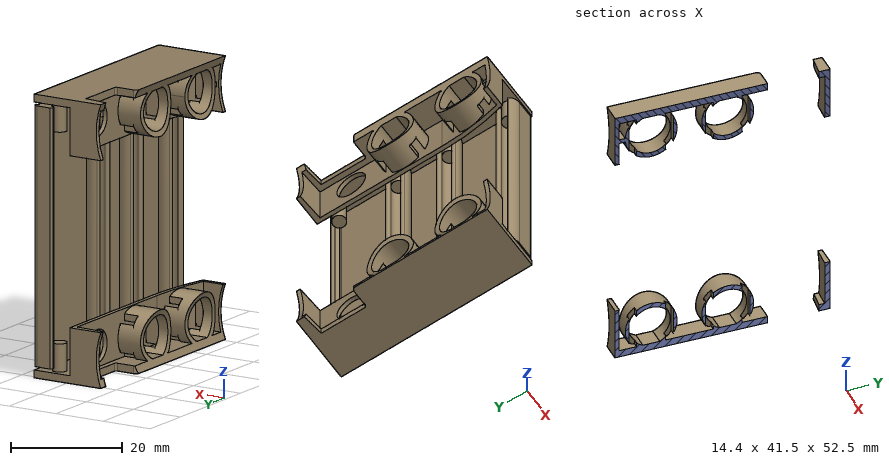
import cadquery as cq
import math

height = 52.5
length = 41.5
slat_back = 14.35

plate_thickness = 1.45
plate_depth = 14.2
bracket_height = 10.35
front_hollow = 0.95
wall_thickness = 0.85
wall_back = 6.55
wall_front = wall_back - wall_thickness
bend_start = 13.75
bend_depth = 1.8
near_wall_back = wall_back - bend_depth
far_wall_tip = 0.85
far_wall_root = 1.2

notch_depth = 4.55
notch_start = 29.4
notch_end_tip = length - 1.75
notch_end_root = length - 2.25
notch_outer_radius = 0.8
notch_inner_radius = 0.35

ring_places = (7.0, 21.75)
ring_outer_diameter = 10.1
ring_inner_diameter = 8.1
ring_height = bracket_height / 2
slot_front = 2.9
slot_inner = 2.85
slot_outer = 4.25

hole_diameter = 6.2
hole_place = 33.5
hole_height = 5.3

rib_front = 1.35
rib_thickness = 0.9
rib_overlap = 0.2

pin_diameter = 2.7
pin_x = 10.2
pin_top = 6.65
channel_diameter = 4.6
end_pin_place = channel_diameter / 2
pin_places = (end_pin_place, 15.2, 26.3, length - end_pin_place)

slat_gap = 0.65
slat_bottom = plate_thickness + slat_gap
slat_height = height - 2 * slat_bottom
slat_front = 11.55
slat_back_radius = 0.8
lip_angle = 63.0
end_lip_angle = 28.5
hook_tip_x = 10.4
hook_chamfer = 0.35
hook_inner_x = 10.65
hook_inner_y = length - 1.15
hook_foot_y = length - 1.75
groove_start = 39.4
groove_width = 1.15
groove_depth = 0.4


def box(x0, x1, y0, y1, z0, z1):
    corner = (x0, y0, z0)
    return cq.Workplane("XY").box(x1 - x0, y1 - y0, z1 - z0, centered=False).translate(corner)


def rod_along_x(diameter, y, z, x_end):
    return cq.Workplane("YZ", origin=(0, y, z)).circle(diameter / 2).extrude(x_end)


def bend_point(x, y):
    """Point at `y` on the curve that starts at (x, bend_start) and bends toward -X."""
    radius = (bend_start**2 + bend_depth**2) / (2 * bend_depth)
    run = bend_start - y
    return (x - radius + math.sqrt(radius**2 - run**2), y)


def make_plate():
    middle = plate_thickness / 2
    notch = (
        cq.Workplane("XY")
        .polyline([
            (0, notch_start),
            (notch_depth, notch_start),
            (notch_depth, notch_end_root),
            (0, notch_end_tip),
        ])
        .close()
        .extrude(plate_thickness)
        .edges(cq.NearestToPointSelector((notch_depth, notch_start, middle)))
        .fillet(notch_inner_radius)
    )
    return (
        box(0, plate_depth, 0, length, 0, plate_thickness)
        .cut(notch)
        .edges(cq.NearestToPointSelector((0, notch_start, middle)))
        .fillet(notch_outer_radius)
    )


def make_long_wall():
    return (
        cq.Workplane("XY")
        .moveTo(wall_front, length)
        .lineTo(wall_back, length)
        .lineTo(wall_back, bend_start)
        .threePointArc(bend_point(wall_back, bend_start / 2), bend_point(wall_back, 0))
        .lineTo(*bend_point(wall_front, 0))
        .threePointArc(bend_point(wall_front, bend_start / 2), (wall_front, bend_start))
        .close()
        .extrude(bracket_height)
    )


def make_end_walls():
    near_wall = box(0, near_wall_back - wall_thickness / 2, 0, wall_thickness, 0, bracket_height)
    far_wall = (
        cq.Workplane("XY")
        .polyline([
            (0, length),
            (0, length - far_wall_tip),
            (wall_front, length - far_wall_root),
            (wall_front, length),
        ])
        .close()
        .extrude(bracket_height)
    )
    return near_wall.union(far_wall)


def make_ring(place):
    outside = rod_along_x(ring_outer_diameter, place, ring_height, wall_front)
    bore = rod_along_x(ring_inner_diameter, place, ring_height, wall_front)
    ring = outside.cut(bore)
    for inner, outer in ((slot_inner, slot_outer), (-slot_outer, -slot_inner)):
        ring = ring.cut(box(slot_front, wall_front, place + inner, place + outer, 0, bracket_height))
    return ring


def make_rib():
    ring_edge = ring_places[0] - ring_outer_diameter / 2
    bottom = hole_height - rib_thickness / 2
    rib_back = near_wall_back - wall_thickness / 2
    return box(rib_front, rib_back, 0, ring_edge + rib_overlap, bottom, bottom + rib_thickness)


def make_space_behind_bend():
    """Everything behind the curved stretch of the long wall, where no ring may reach."""
    return (
        cq.Workplane("XY")
        .moveTo(wall_back, bend_start)
        .threePointArc(bend_point(wall_back, bend_start / 2), bend_point(wall_back, 0))
        .lineTo(wall_back, 0)
        .close()
        .extrude(bracket_height)
    )


def make_front_hollow():
    return (
        cq.Workplane("XZ")
        .threePointArc((front_hollow, bracket_height / 2), (0, bracket_height))
        .close()
        .extrude(-length)
    )


def make_pins():
    places = [(pin_x, y) for y in pin_places]
    return cq.Workplane("XY").pushPoints(places).circle(pin_diameter / 2).extrude(pin_top)


def make_bracket(with_rib):
    """Bracket that stands on Z = 0, with its pins pointing up."""
    bracket = make_end_walls().union(make_long_wall())
    for place in ring_places:
        bracket = bracket.union(make_ring(place))
    if with_rib:
        bracket = bracket.union(make_rib())
    return (
        bracket
        .cut(make_space_behind_bend())
        .cut(rod_along_x(hole_diameter, hole_place, hole_height, wall_back))
        .union(make_plate())
        .cut(make_front_hollow())
        .union(make_pins())
    )


def slat_plane():
    return cq.Workplane("XY", origin=(0, 0, slat_bottom))


def channel_point(place, radius, angle):
    """Point around a pin, `angle` degrees from -X toward +Y."""
    turn = math.radians(angle)
    return (pin_x - radius * math.cos(turn), place + radius * math.sin(turn))


def make_channel(place, near_angle, far_angle):
    """Round channel body, open at the front between two angles on its -Y and +Y sides."""
    reach = channel_diameter
    opening = (
        slat_plane()
        .polyline([
            (pin_x, place),
            channel_point(place, reach, -near_angle),
            (pin_x - reach, place),
            channel_point(place, reach, far_angle),
        ])
        .close()
        .extrude(slat_height)
    )
    body = slat_plane().center(pin_x, place).circle(channel_diameter / 2).extrude(slat_height)
    return body.cut(opening)


def make_lip_end(place, angle):
    """Rounded end of a channel's lip."""
    middle_radius = (channel_diameter + pin_diameter) / 4
    thickness = (channel_diameter - pin_diameter) / 2
    x, y = channel_point(place, middle_radius, angle)
    return slat_plane().center(x, y).circle(thickness / 2).extrude(slat_height)


def make_hook():
    """Low wall that holds the last pin from its +Y side."""
    return (
        slat_plane()
        .polyline([
            (slat_front, length),
            (hook_tip_x + hook_chamfer, length),
            (hook_tip_x, length - hook_chamfer),
            (hook_inner_x, hook_inner_y),
            (slat_front, hook_foot_y),
        ])
        .close()
        .extrude(slat_height)
    )


def make_slat():
    slat_top = slat_bottom + slat_height
    slat = box(slat_front, slat_back, 0, length, slat_bottom, slat_top)
    slat = slat.edges("|Z and >X").fillet(slat_back_radius)

    end_place = pin_places[0]
    slat = slat.union(make_channel(end_place, end_lip_angle, lip_angle))
    slat = slat.union(make_lip_end(end_place, lip_angle))
    slat = slat.union(box(pin_x, slat_front, 0, end_place, slat_bottom, slat_top))
    for place in pin_places[1:-1]:
        slat = slat.union(make_channel(place, lip_angle, lip_angle))
        for angle in (-lip_angle, lip_angle):
            slat = slat.union(make_lip_end(place, angle))
    slat = slat.union(make_hook())

    pin_points = [(pin_x, y) for y in pin_places]
    bores = slat_plane().pushPoints(pin_points).circle(pin_diameter / 2).extrude(slat_height)
    groove_end = groove_start + groove_width
    groove = box(slat_back - groove_depth, slat_back, groove_start, groove_end, slat_bottom, slat_top)
    return slat.cut(bores).cut(groove)


bottom_bracket = make_bracket(with_rib=False)
top_bracket = make_bracket(with_rib=True).mirror("XY").translate((0, 0, height))
slat = make_slat()

result = cq.Compound.makeCompound([
    bottom_bracket.solids().val(),
    top_bracket.solids().val(),
    slat.solids().val(),
])